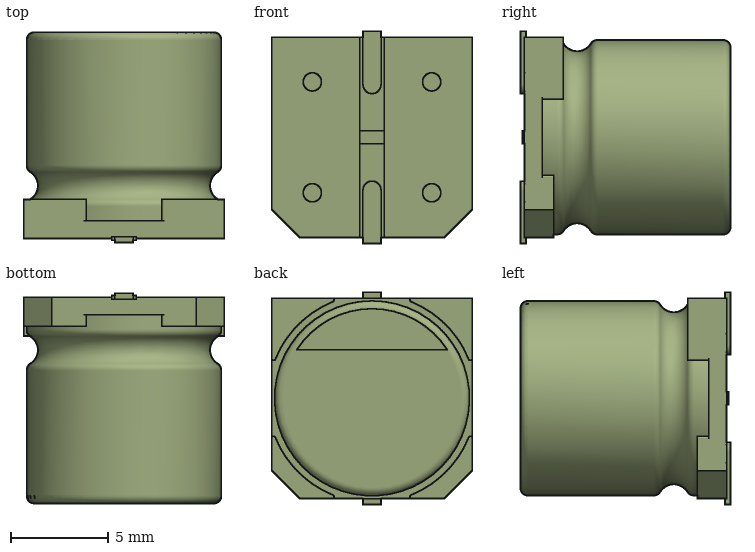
import cadquery as cq
import math


BASE_SIDE = 10.3
BASE_HEIGHT = 2.01
LOW_POST_HEIGHT = 1.5
FLOOR_HEIGHT = 0.92
CORNER_CHAMFER = 1.44
RECESS_RADIUS = 5.35
POST_TIP_FILLET = 0.1
TRACK_WIDTH = 1.28
TRACK_DEPTH = 0.1

CAN_RADIUS = 5.0
CAN_TOP = 10.6
TOP_FILLET = 0.4
WAIST_RADIUS = 4.43
WAIST_Y = 2.71
WAIST_HALF_HEIGHT = 0.7
SHOULDER_HEIGHT = 0.35

FLAT_TOP_RADIUS = CAN_RADIUS - TOP_FILLET
MARK_CHORD_Z = CAN_RADIUS / 2
MARK_DEPTH = 0.1

LEAD_SPAN = 10.9
LEAD_WIDTH = 0.93
LEAD_LENGTH = 3.2
LEAD_STANDOFF = 0.21
BAR_LENGTH = 0.65
BAR_STANDOFF = 0.1
PLUG_DIAMETER = 0.94
PLUG_X = 3.06
PLUG_Z = 2.85


def box_between(x_range, y_range, z_range):
    """Box that spans the given (low, high) ranges."""
    (x0, x1), (y0, y1), (z0, z1) = x_range, y_range, z_range
    return cq.Workplane("XY").box(x1 - x0, y1 - y0, z1 - z0, centered=False).translate((x0, y0, z0))


def cylinder_along_y(radius, y_start, y_end, x=0, z=0):
    """Cylinder with its axis along +Y."""
    start = cq.Vector(x, y_start, z)
    return cq.Workplane(cq.Solid.makeCylinder(radius, y_end - y_start, start, cq.Vector(0, 1, 0)))


def make_plugs():
    """Four round plugs through the base floor, flush with the mounting face."""
    return [
        cylinder_along_y(PLUG_DIAMETER / 2, 0, FLOOR_HEIGHT, x, z)
        for x in (-PLUG_X, PLUG_X)
        for z in (-PLUG_Z, PLUG_Z)
    ]


def make_lead(side):
    """Flat lead lying in the track, round at its inner end; side is +1 or -1 along Z."""
    half_width = LEAD_WIDTH / 2
    outer_z = side * LEAD_SPAN / 2
    tip_z = side * (LEAD_SPAN / 2 - LEAD_LENGTH)
    shoulder_z = tip_z + side * half_width
    return (
        cq.Workplane("XZ", origin=(0, TRACK_DEPTH, 0))
        .moveTo(-half_width, outer_z)
        .lineTo(-half_width, shoulder_z)
        .threePointArc((0, tip_z), (half_width, shoulder_z))
        .lineTo(half_width, outer_z)
        .close()
        .extrude(TRACK_DEPTH + LEAD_STANDOFF)
    )


def make_bar():
    """Spacer bar across the middle of the track."""
    return box_between(
        (-TRACK_WIDTH / 2, TRACK_WIDTH / 2),
        (-BAR_STANDOFF, TRACK_DEPTH),
        (-BAR_LENGTH / 2, BAR_LENGTH / 2),
    )


def make_base(plugs):
    """Square base with a round recess that breaks through its four sides."""
    half = BASE_SIDE / 2
    base = box_between((-half, half), (0, BASE_HEIGHT), (-half, half))
    base = base.edges("|Y and <Z").chamfer(CORNER_CHAMFER)
    base = base.cut(box_between((-half, half), (LOW_POST_HEIGHT, BASE_HEIGHT), (-half, 0)))
    base = base.cut(cylinder_along_y(RECESS_RADIUS, FLOOR_HEIGHT, BASE_HEIGHT))

    tip = math.sqrt(RECESS_RADIUS**2 - half**2)
    for tip_x, tip_z in ((half, tip), (tip, half)):
        for x in (-tip_x, tip_x):
            for z in (-tip_z, tip_z):
                tip_edge = cq.selectors.NearestToPointSelector((x, LOW_POST_HEIGHT, z))
                base = base.edges("|Y").edges(tip_edge).fillet(POST_TIP_FILLET)

    base = base.cut(
        box_between((-TRACK_WIDTH / 2, TRACK_WIDTH / 2), (0, TRACK_DEPTH), (-half, half))
    )
    for plug in plugs:
        base = base.cut(plug)
    return base


def make_can(mark):
    """Turned can with a rounded top edge, a smoothly rounded waist and a pocket for the mark."""
    half_rise = WAIST_HALF_HEIGHT + SHOULDER_HEIGHT
    turn = 2 * math.atan((CAN_RADIUS - WAIST_RADIUS) / half_rise)
    waist_arc = WAIST_HALF_HEIGHT / math.sin(turn)
    shoulder_arc = SHOULDER_HEIGHT / math.sin(turn)
    joint_radius = CAN_RADIUS - shoulder_arc * (1 - math.cos(turn))
    mid_radius = CAN_RADIUS - shoulder_arc * (1 - math.cos(turn / 2))
    mid_height = half_rise - shoulder_arc * math.sin(turn / 2)

    profile = (
        cq.Workplane("ZY")
        .moveTo(0, FLOOR_HEIGHT)
        .lineTo(CAN_RADIUS, FLOOR_HEIGHT)
        .lineTo(CAN_RADIUS, WAIST_Y - half_rise)
        .threePointArc((mid_radius, WAIST_Y - mid_height), (joint_radius, WAIST_Y - WAIST_HALF_HEIGHT))
        .radiusArc((WAIST_RADIUS, WAIST_Y), waist_arc)
        .radiusArc((joint_radius, WAIST_Y + WAIST_HALF_HEIGHT), waist_arc)
        .threePointArc((mid_radius, WAIST_Y + mid_height), (CAN_RADIUS, WAIST_Y + half_rise))
        .lineTo(CAN_RADIUS, CAN_TOP)
        .lineTo(0, CAN_TOP)
        .close()
    )
    can = profile.revolve(360, (0, 0), (0, 1))
    return can.faces(">Y").edges().fillet(TOP_FILLET).cut(mark)


def make_mark():
    """Thin circle segment on the +Z side of the flat can top, bounded by the rounded rim."""
    disc = cylinder_along_y(FLAT_TOP_RADIUS, CAN_TOP - MARK_DEPTH, CAN_TOP)
    return disc.intersect(
        box_between(
            (-FLAT_TOP_RADIUS, FLAT_TOP_RADIUS),
            (CAN_TOP - MARK_DEPTH, CAN_TOP),
            (MARK_CHORD_Z, FLAT_TOP_RADIUS),
        )
    )


plugs = make_plugs()
leads = [make_lead(side) for side in (1, -1)]
bar = make_bar()
base = make_base(plugs)
mark = make_mark()
can = make_can(mark)

result = cq.Compound.makeCompound(
    [base.val(), can.val(), mark.val(), bar.val()]
    + [lead.val() for lead in leads]
    + [plug.val() for plug in plugs]
)